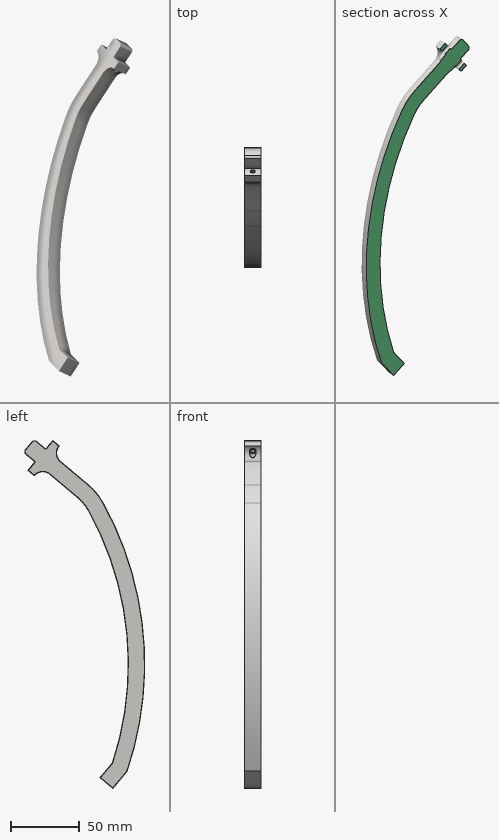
import cadquery as cq
import math

WIDTH = 12.0
BAR_HEIGHT = 12.0
BOW_RADIUS = 236.0
BOW_TOP_ANGLE = 28.9
BOW_BOTTOM_ANGLE = -18.45

ARM_NORMAL_ANGLE = 50.0
BEND_RADIUS = 41.0
SHOULDER_DISTANCE = 40.2

CROSSBAR_LENGTH = 28.0
CROSSBAR_THICKNESS = 6.0
TONGUE_LENGTH = 11.0
TONGUE_CHAMFER = 1.5

FOOT_NORMAL_ANGLE = -40.0
FOOT_LENGTH = 15.0

HOLE_DIAMETER = 3.4
HOLE_OFFSET = 9.25
HEAD_RECESS_DIAMETER = 5.0

HALF_BAR = BAR_HEIGHT / 2
HALF_CROSSBAR = CROSSBAR_LENGTH / 2
WING_FILLET = HALF_CROSSBAR - HALF_BAR
OUTER_RADIUS = BOW_RADIUS + HALF_BAR
INNER_RADIUS = BOW_RADIUS - HALF_BAR


def polar(radius, angle, center=(0.0, 0.0)):
    """Profile point (y, z) at a radius and angle from a centre."""
    angle_rad = math.radians(angle)
    return (center[0] - radius * math.cos(angle_rad), center[1] + radius * math.sin(angle_rad))


BEND_CENTER = polar(BOW_RADIUS - BEND_RADIUS, BOW_TOP_ANGLE)
BEND_MIDDLE_ANGLE = (BOW_TOP_ANGLE + ARM_NORMAL_ANGLE) / 2
BOW_MIDDLE_ANGLE = (BOW_TOP_ANGLE + BOW_BOTTOM_ANGLE) / 2
ARM_START = polar(BEND_RADIUS, ARM_NORMAL_ANGLE, BEND_CENTER)
SHOULDER = polar(SHOULDER_DISTANCE, ARM_NORMAL_ANGLE + 90, ARM_START)


def head_point(along, across):
    """Profile point measured from the shoulder: along toward the tip, across toward the outer side."""
    return polar(across, ARM_NORMAL_ANGLE, polar(along, ARM_NORMAL_ANGLE + 90, SHOULDER))


FOOT_TURN = math.radians(BOW_BOTTOM_ANGLE - FOOT_NORMAL_ANGLE)
FOOT_LINE_DISTANCE = BOW_RADIUS * math.cos(FOOT_TURN)
FOOT_START = BOW_RADIUS * math.sin(FOOT_TURN)


def foot_end(side):
    """Corner of the foot's free end, on the outer (+1) or inner (-1) side."""
    line_foot = polar(FOOT_LINE_DISTANCE + side * HALF_BAR, FOOT_NORMAL_ANGLE)
    return polar(FOOT_START - FOOT_LENGTH, FOOT_NORMAL_ANGLE + 90, line_foot)


def foot_corner(side):
    """Corner where the foot's outer (+1) or inner (-1) side meets the bow."""
    line_distance = FOOT_LINE_DISTANCE + side * HALF_BAR
    bow_radius = BOW_RADIUS + side * HALF_BAR
    angle = FOOT_NORMAL_ANGLE + math.degrees(math.acos(line_distance / bow_radius))
    return polar(bow_radius, angle)


def fillet_point(side, angle):
    """Point on a wing fillet; 0 touches the arm, 90 touches the crossbar."""
    angle_rad = math.radians(angle)
    along = WING_FILLET * (math.sin(angle_rad) - 1) - CROSSBAR_THICKNESS
    across = HALF_BAR + WING_FILLET * (1 - math.cos(angle_rad))
    return head_point(along, side * across)


def make_profile():
    bend_outer = BEND_RADIUS + HALF_BAR
    bend_inner = BEND_RADIUS - HALF_BAR
    chamfered_half = HALF_BAR - TONGUE_CHAMFER
    chamfer_start = TONGUE_LENGTH - TONGUE_CHAMFER
    return (
        cq.Workplane("YZ")
        .moveTo(*foot_end(1))
        .lineTo(*foot_corner(1))
        .threePointArc(polar(OUTER_RADIUS, BOW_MIDDLE_ANGLE), polar(OUTER_RADIUS, BOW_TOP_ANGLE))
        .threePointArc(
            polar(bend_outer, BEND_MIDDLE_ANGLE, BEND_CENTER),
            polar(bend_outer, ARM_NORMAL_ANGLE, BEND_CENTER),
        )
        .lineTo(*fillet_point(1, 0))
        .threePointArc(fillet_point(1, 45), fillet_point(1, 90))
        .lineTo(*head_point(0, HALF_CROSSBAR))
        .lineTo(*head_point(0, HALF_BAR))
        .lineTo(*head_point(chamfer_start, HALF_BAR))
        .lineTo(*head_point(TONGUE_LENGTH, chamfered_half))
        .lineTo(*head_point(TONGUE_LENGTH, -chamfered_half))
        .lineTo(*head_point(chamfer_start, -HALF_BAR))
        .lineTo(*head_point(0, -HALF_BAR))
        .lineTo(*head_point(0, -HALF_CROSSBAR))
        .lineTo(*fillet_point(-1, 90))
        .threePointArc(fillet_point(-1, 45), fillet_point(-1, 0))
        .lineTo(*polar(bend_inner, ARM_NORMAL_ANGLE, BEND_CENTER))
        .threePointArc(
            polar(bend_inner, BEND_MIDDLE_ANGLE, BEND_CENTER),
            polar(bend_inner, BOW_TOP_ANGLE, BEND_CENTER),
        )
        .threePointArc(polar(INNER_RADIUS, BOW_MIDDLE_ANGLE), foot_corner(-1))
        .lineTo(*foot_end(-1))
        .close()
    )


def wing_plane(across, depth):
    """Plane across a wing, at a depth behind the shoulder; its normal points down the arm."""
    arm_y, arm_z = polar(1, ARM_NORMAL_ANGLE - 90)
    center_y, center_z = head_point(-depth, across)
    return cq.Plane(origin=(0, center_y, center_z), xDir=(1, 0, 0), normal=(0, arm_y, arm_z))


def cut_screw_holes(body):
    """The head recess ends level with the crossbar's underside."""
    hole_depth = CROSSBAR_THICKNESS + WING_FILLET
    for side in (1, -1):
        across = side * HOLE_OFFSET
        hole = cq.Workplane(wing_plane(across, 0)).circle(HOLE_DIAMETER / 2).extrude(hole_depth)
        recess = (
            cq.Workplane(wing_plane(across, CROSSBAR_THICKNESS))
            .circle(HEAD_RECESS_DIAMETER / 2)
            .extrude(WING_FILLET)
        )
        body = body.cut(hole).cut(recess)
    return body


bar = make_profile().extrude(WIDTH / 2, both=True)
result = cut_screw_holes(bar)